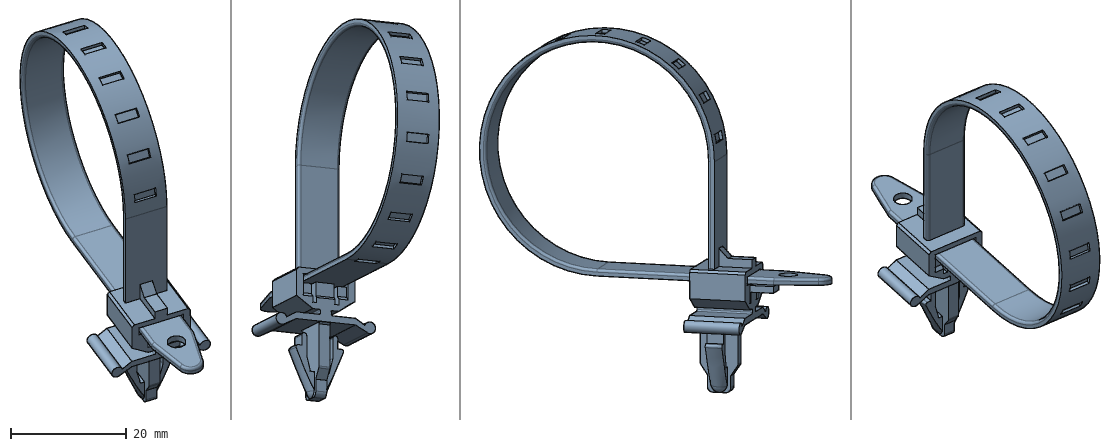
import cadquery as cq
import math


LOOP_RADIUS = 21.2
STRAP_THICKNESS = 1.2
STRAP_WIDTH = 8.0
STRAP_FILLET = 0.5
LOOP_ANGLE = 270
INNER_RADIUS = LOOP_RADIUS - STRAP_THICKNESS

POCKET_WIDTH = 4.1
POCKET_LENGTH = 1.6
POCKET_DEPTH = 0.6
POCKET_COUNT = 14
POCKET_PITCH = 20
POCKET_FIRST = POCKET_PITCH / 2

TAIL_LENGTH = 41.2
TAIL_TAPER_START = 31.9
TAIL_TIP_RADIUS = 2.26
TAIL_HOLE_DIAMETER = 3.2
TAIL_HOLE_X = 33.35

HEAD_LENGTH = 10.0
HEAD_BACK = 27.2
HEAD_FRONT = HEAD_BACK - HEAD_LENGTH
HEAD_HALF_WIDTH = 5.6
HEAD_TOP = -18.95
HEAD_CHAMFER = 0.45
HEAD_SIDE_BOTTOM = -24.05
HEAD_BOTTOM = -26.1
HEAD_BOTTOM_HALF_WIDTH = 2.5
WINDOW_HALF_WIDTH = 4.25
WINDOW_FLOOR = -23.9
GUIDE_TOP = -21.5
GUIDE_SETBACK = 0.6
SLIT_INNER = 1.75
SLIT_OUTER = 2.5
SLIT_BOTTOM = -24.95
PAWL_SETBACK = 0.4
PAWL_FLOOR = -24.05

TAB_LENGTH = 4.0
TAB_TOP = -21.9
TAB_THICKNESS = 1.2

GUSSET_WIDTH = 2.4
GUSSET_STEP = -17.45
GUSSET_RUN = 1.7

NECK_HALF_WIDTH = 1.05
WING_TOP = -27.0
NECK_FILLET = 0.25
WING_BOTTOM = -28.2
WING_BEND = 5.65
BEAD_RADIUS = 1.05
WING_HALF_SPAN = 9.5
BEAD_Y = WING_HALF_SPAN - BEAD_RADIUS
BEAD_Z = -28.43
WING_ROOT_TOP = -28.05
WING_ROOT_Y = 7.45
WING_SLOPE = math.radians(27)
WING_UNDERSIDE_Y = BEAD_Y - BEAD_RADIUS * math.sin(WING_SLOPE)
WING_UNDERSIDE_Z = BEAD_Z - BEAD_RADIUS * math.cos(WING_SLOPE)

STEM_X = LOOP_RADIUS
STEM_HALF_WIDTH = 3.4
STEM_HALF_THICKNESS = 1.05
STEM_FLARE = 0.35
STEM_TAPER_TOP = -36.25
STEM_TAPER_BOTTOM = -38.15
STEM_TIP_HALF_WIDTH = 2.1
STEM_BOTTOM = -41.19
STEM_SHOULDER_RADIUS = 0.6
STEM_TIP_RADIUS = 0.95

BARB_WIDTH = 3.0
BARB_TOP = -29.9
BARB_FINGER_INNER = 2.5
BARB_FINGER_OUTER = 3.45
BARB_FINGER_RADIUS = (BARB_FINGER_OUTER - BARB_FINGER_INNER) / 2
FINGER_CORNER_RADIUS = math.hypot(BARB_FINGER_OUTER, BARB_WIDTH / 2)
BARB_SHOULDER = -32.15
BARB_RADIUS = 5.0
BARB_SHOULDER_FILLET = 0.4
BARB_NOSE_RADIUS = 1.76
BARB_NOSE = -40.06
BARB_NOSE_BULGE = 0.12
BARB_END_RADIUS = 1.0
BARB_BEND = -33.95
BARB_ROOT_Y = 1.8
BARB_ROOT = -36.65


def box(x0, x1, y0, y1, z0, z1):
    """Axis-aligned block between two opposite corners."""
    return cq.Workplane("XY").box(x1 - x0, y1 - y0, z1 - z0, centered=False).translate((x0, y0, z0))


def strap_section():
    """Cross-section of the strap at the start of the loop, rounded on the inner side."""
    half = STRAP_WIDTH / 2
    return (
        cq.Workplane("XY")
        .moveTo(LOOP_RADIUS, -half)
        .lineTo(LOOP_RADIUS, half)
        .lineTo(INNER_RADIUS + STRAP_FILLET, half)
        .radiusArc((INNER_RADIUS, half - STRAP_FILLET), -STRAP_FILLET)
        .lineTo(INNER_RADIUS, STRAP_FILLET - half)
        .radiusArc((INNER_RADIUS + STRAP_FILLET, -half), -STRAP_FILLET)
        .close()
    )


def make_loop():
    """Loop of the strap and the straight stretch that drops into the head."""
    loop = strap_section().revolve(LOOP_ANGLE, (0, 0), (0, -1))
    return loop.union(strap_section().extrude(HEAD_TOP))


def make_pockets():
    """Latch pockets spaced around the outer face of the loop."""
    pocket = cq.Workplane("XY").box(2 * POCKET_DEPTH, POCKET_WIDTH, POCKET_LENGTH)
    pocket = pocket.translate((LOOP_RADIUS, 0, 0))
    pockets = cq.Workplane("XY")
    for index in range(POCKET_COUNT):
        angle = POCKET_FIRST + index * POCKET_PITCH
        pockets = pockets.add(pocket.rotate((0, 0, 0), (0, -1, 0), angle))
    return pockets.combine()


def make_tail():
    """Straight stretch through the head, tapering to a rounded pull tip with a hole."""
    half = STRAP_WIDTH / 2
    tip_center = TAIL_LENGTH - TAIL_TIP_RADIUS
    run = tip_center - TAIL_TAPER_START
    tangent_angle = math.asin(TAIL_TIP_RADIUS / math.hypot(run, half))
    lean = math.atan2(half, run) - tangent_angle
    tangent_x = tip_center + TAIL_TIP_RADIUS * math.sin(lean)
    tangent_y = TAIL_TIP_RADIUS * math.cos(lean)
    outline = (
        cq.Workplane("XY", origin=(0, 0, -LOOP_RADIUS))
        .moveTo(0, -half)
        .lineTo(TAIL_TAPER_START, -half)
        .lineTo(tangent_x, -tangent_y)
        .threePointArc((TAIL_LENGTH, 0), (tangent_x, tangent_y))
        .lineTo(TAIL_TAPER_START, half)
        .lineTo(0, half)
        .close()
    )
    tail = outline.extrude(STRAP_THICKNESS)
    tail = tail.faces(">Z").edges("not <X").fillet(STRAP_FILLET)
    hole = cq.Workplane("XY").center(TAIL_HOLE_X, 0).circle(TAIL_HOLE_DIAMETER / 2)
    return tail.cut(hole.extrude(-2 * LOOP_RADIUS))


def mirrored_profile(half_points):
    """Extrude a YZ outline over the head length, from its +Y half listed top to bottom."""
    other_half = [(-y, z) for y, z in reversed(half_points)]
    plane = cq.Workplane("YZ", origin=(HEAD_FRONT, 0, 0))
    return plane.polyline(half_points + other_half).close().extrude(HEAD_LENGTH)


def lead_in(setback, floor, y0, y1):
    """Wedge that cuts a ramp at the head front and the space above it."""
    profile = cq.Workplane("XZ", origin=(0, y1, 0)).polyline([
        (HEAD_FRONT, floor),
        (HEAD_FRONT + setback, floor + setback),
        (HEAD_FRONT + setback, -LOOP_RADIUS),
        (HEAD_FRONT, -LOOP_RADIUS),
    ]).close()
    return profile.extrude(y1 - y0)


def make_head():
    """Head with the strap window, guides, pawl, release tab and gusset."""
    head = mirrored_profile([
        (HEAD_HALF_WIDTH - HEAD_CHAMFER, HEAD_TOP),
        (HEAD_HALF_WIDTH, HEAD_TOP - HEAD_CHAMFER),
        (HEAD_HALF_WIDTH, HEAD_SIDE_BOTTOM),
        (HEAD_BOTTOM_HALF_WIDTH, HEAD_BOTTOM),
    ])
    head = head.cut(box(HEAD_FRONT, HEAD_BACK, -WINDOW_HALF_WIDTH, WINDOW_HALF_WIDTH,
                        -LOOP_RADIUS, -INNER_RADIUS))
    for y0, y1 in ((SLIT_INNER, SLIT_OUTER), (-SLIT_OUTER, -SLIT_INNER)):
        head = head.cut(box(HEAD_FRONT, HEAD_BACK, y0, y1, SLIT_BOTTOM, -LOOP_RADIUS))
    for y0, y1 in ((SLIT_OUTER, WINDOW_HALF_WIDTH), (-WINDOW_HALF_WIDTH, -SLIT_OUTER)):
        head = head.cut(box(HEAD_FRONT, HEAD_BACK, y0, y1, GUIDE_TOP, -LOOP_RADIUS))
        head = head.cut(lead_in(GUIDE_SETBACK, WINDOW_FLOOR, y0, y1))
    head = head.cut(lead_in(PAWL_SETBACK, PAWL_FLOOR, -SLIT_INNER, SLIT_INNER))
    tab = box(HEAD_BACK, HEAD_BACK + TAB_LENGTH, -SLIT_INNER, SLIT_INNER,
              TAB_TOP - TAB_THICKNESS, TAB_TOP)
    gusset = cq.Workplane("XZ").polyline([
        (LOOP_RADIUS, HEAD_TOP),
        (LOOP_RADIUS, GUSSET_STEP + GUSSET_RUN),
        (LOOP_RADIUS + GUSSET_RUN, GUSSET_STEP),
        (HEAD_BACK, GUSSET_STEP),
        (HEAD_BACK, HEAD_TOP),
    ]).close().extrude(GUSSET_WIDTH / 2, both=True)
    return head.union(tab).union(gusset)


def make_wings():
    """Neck under the head and the two spring wings with beaded ends."""
    wings = mirrored_profile([
        (NECK_HALF_WIDTH, HEAD_BOTTOM),
        (NECK_HALF_WIDTH, WING_TOP),
        (WING_BEND, WING_TOP),
        (WING_ROOT_Y, WING_ROOT_TOP),
        (BEAD_Y, BEAD_Z),
        (WING_UNDERSIDE_Y, WING_UNDERSIDE_Z),
        (WING_BEND, WING_BOTTOM),
    ])
    beads = cq.Workplane("YZ", origin=(HEAD_FRONT, 0, 0))
    beads = beads.pushPoints([(-BEAD_Y, BEAD_Z), (BEAD_Y, BEAD_Z)]).circle(BEAD_RADIUS)
    return wings.union(beads.extrude(HEAD_LENGTH))


def make_stem():
    """Flat stem of the clip, flared at the wings and narrowed at the tip."""
    half_outline = [
        (STEM_HALF_WIDTH + STEM_FLARE, WING_BOTTOM),
        (STEM_HALF_WIDTH, WING_BOTTOM - STEM_FLARE),
        (STEM_HALF_WIDTH, STEM_TAPER_TOP),
        (STEM_TIP_HALF_WIDTH, STEM_TAPER_BOTTOM),
        (STEM_TIP_HALF_WIDTH, STEM_BOTTOM),
    ]
    other_half = [(-x, z) for x, z in reversed(half_outline)]
    stem = cq.Workplane("XZ", origin=(STEM_X, 0, 0)).polyline(half_outline + other_half).close()
    stem = stem.extrude(STEM_HALF_THICKNESS, both=True)
    stem = stem.faces("<Z").edges("|Y").fillet(STEM_TIP_RADIUS)
    shoulders = cq.selectors.BoxSelector(
        (STEM_X - HEAD_LENGTH, -STRAP_WIDTH, STEM_TAPER_TOP - STEM_SHOULDER_RADIUS),
        (STEM_X + HEAD_LENGTH, STRAP_WIDTH, STEM_TAPER_TOP + STEM_SHOULDER_RADIUS),
    )
    return stem.edges("|Y").edges(shoulders).fillet(STEM_SHOULDER_RADIUS)


def make_barbs():
    """Pair of barbs whose outer faces lie on a cone around the stem axis."""
    cone = (
        cq.Workplane("XZ")
        .moveTo(0, BARB_SHOULDER)
        .lineTo(BARB_RADIUS, BARB_SHOULDER)
        .lineTo(BARB_NOSE_RADIUS, BARB_NOSE)
        .sagittaArc((BARB_END_RADIUS, STEM_BOTTOM), BARB_NOSE_BULGE)
        .lineTo(0, STEM_BOTTOM)
        .close()
        .revolve(360, (0, 0), (0, 1))
    )
    cone = cone.faces(">Z").edges().fillet(BARB_SHOULDER_FILLET)
    finger_space = cq.Workplane("XY", origin=(0, 0, BARB_SHOULDER)).circle(FINGER_CORNER_RADIUS)
    cone = cone.union(finger_space.extrude(BARB_TOP - BARB_SHOULDER))
    finger_end = BARB_TOP - BARB_FINGER_RADIUS
    finger = (
        cq.Workplane("YZ")
        .moveTo(0, STEM_BOTTOM)
        .lineTo(BARB_RADIUS, STEM_BOTTOM)
        .lineTo(BARB_RADIUS, BARB_SHOULDER)
        .lineTo(BARB_FINGER_OUTER, BARB_SHOULDER)
        .lineTo(BARB_FINGER_OUTER, finger_end)
        .threePointArc(
            (BARB_FINGER_INNER + BARB_FINGER_RADIUS, BARB_TOP),
            (BARB_FINGER_INNER, finger_end),
        )
        .lineTo(BARB_FINGER_INNER, BARB_BEND)
        .lineTo(BARB_ROOT_Y, BARB_ROOT)
        .lineTo(0, BARB_ROOT)
        .close()
        .extrude(BARB_WIDTH / 2, both=True)
    )
    barb = finger.intersect(cone)
    return barb.union(barb.mirror("XZ")).translate((STEM_X, 0, 0))


def make_body():
    """Head joined to the wings, with the neck corners rounded."""
    body = make_head().union(make_wings())
    corners = cq.selectors.BoxSelector(
        (HEAD_FRONT, -NECK_HALF_WIDTH - NECK_FILLET, WING_TOP - NECK_FILLET),
        (HEAD_BACK, NECK_HALF_WIDTH + NECK_FILLET, HEAD_BOTTOM + NECK_FILLET),
    )
    return body.edges("|X").edges(corners).fillet(NECK_FILLET)


result = (
    make_loop()
    .union(make_tail())
    .cut(make_pockets())
    .union(make_body())
    .union(make_stem())
    .union(make_barbs())
)